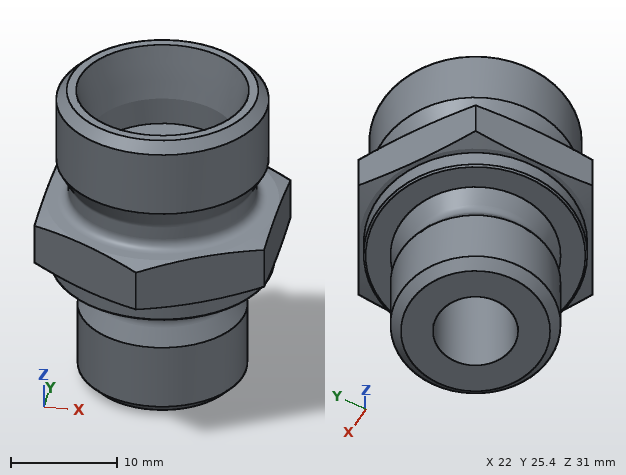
import cadquery as cq
import math

total_height = 31.0
hex_bottom = 14.0
hex_top = 19.0
collar_bottom = 12.0
lower_thread_top = 7.5
upper_thread_bottom = 23.5

upper_thread_radius = 20.0 / 2
lower_thread_radius = 16.0 / 2
neck_radius = 17.7 / 2
collar_radius = 10.5

end_chamfer = 1.0
collar_chamfer = 0.2
neck_top_blend = 0.8
neck_root_fillet = 1.0
runout_angle = math.radians(30)

groove_mouth_radius = lower_thread_radius
groove_blend_radius = 1.25
groove_root_radius = 6.88

across_flats = 22.0
hex_chamfer_angle = math.radians(15)
hex_chamfer_start_radius = 10.97

through_radius = 8.0 / 2
socket_radius = 14.0 / 2
socket_mouth_radius = 8.12
socket_depth = 8.0
socket_taper_angle = math.radians(12)


def make_turned_body():
    """Revolve the two threaded ends, the neck and the sealing collar."""
    runout_end = upper_thread_bottom - (upper_thread_radius - neck_radius) / math.tan(runout_angle)
    blend_start = runout_end - neck_top_blend * math.tan(runout_angle / 2)
    blend_mid_radius = neck_radius + neck_top_blend * (1 - math.cos(runout_angle / 2))
    blend_mid_height = blend_start + neck_top_blend * math.sin(runout_angle / 2)
    blend_end_radius = neck_radius + neck_top_blend * (1 - math.cos(runout_angle))
    blend_end_height = blend_start + neck_top_blend * math.sin(runout_angle)
    root_mid_offset = neck_root_fillet * (1 - math.sqrt(0.5))

    wall_end_radius = groove_root_radius + groove_blend_radius * (1 - math.cos(runout_angle))
    wall_end_offset = groove_blend_radius * math.sin(runout_angle)
    lower_wall_end = lower_thread_top + (lower_thread_radius - wall_end_radius) / math.tan(runout_angle)
    root_height = lower_wall_end + wall_end_offset
    upper_wall_end = root_height + wall_end_offset

    profile = (
        cq.Workplane("XZ")
        .lineTo(lower_thread_radius - end_chamfer, 0)
        .lineTo(lower_thread_radius, end_chamfer)
        .lineTo(lower_thread_radius, lower_thread_top)
        .lineTo(wall_end_radius, lower_wall_end)
        .threePointArc((groove_root_radius, root_height), (wall_end_radius, upper_wall_end))
        .lineTo(groove_mouth_radius, collar_bottom)
        .lineTo(collar_radius - collar_chamfer, collar_bottom)
        .lineTo(collar_radius, collar_bottom + collar_chamfer)
        .lineTo(collar_radius, hex_top)
        .lineTo(neck_radius + neck_root_fillet, hex_top)
        .threePointArc(
            (neck_radius + root_mid_offset, hex_top + root_mid_offset),
            (neck_radius, hex_top + neck_root_fillet),
        )
        .lineTo(neck_radius, blend_start)
        .threePointArc((blend_mid_radius, blend_mid_height), (blend_end_radius, blend_end_height))
        .lineTo(upper_thread_radius, upper_thread_bottom)
        .lineTo(upper_thread_radius, total_height - end_chamfer)
        .lineTo(upper_thread_radius - end_chamfer, total_height)
        .lineTo(0, total_height)
        .close()
    )
    return profile.revolve(360, (0, 0, 0), (0, 1, 0))


def make_hexagon():
    """Hexagon with corners on the Y axis and both faces chamfered by cones."""
    corner_radius = across_flats / math.sqrt(3)
    prism = (
        cq.Workplane("XY")
        .workplane(offset=hex_bottom)
        .polygon(6, 2 * corner_radius)
        .extrude(hex_top - hex_bottom)
        .rotate((0, 0, 0), (0, 0, 1), 30)
    )
    envelope_radius = corner_radius + 0.3
    drop = (envelope_radius - hex_chamfer_start_radius) * math.tan(hex_chamfer_angle)
    envelope = (
        cq.Workplane("XZ")
        .moveTo(0, hex_bottom)
        .lineTo(hex_chamfer_start_radius, hex_bottom)
        .lineTo(envelope_radius, hex_bottom + drop)
        .lineTo(envelope_radius, hex_top - drop)
        .lineTo(hex_chamfer_start_radius, hex_top)
        .lineTo(0, hex_top)
        .close()
        .revolve(360, (0, 0, 0), (0, 1, 0))
    )
    return prism.intersect(envelope)


def make_bore():
    """Through hole opening into a flat-bottomed socket with a tapered mouth."""
    floor_height = total_height - socket_depth
    taper_depth = (socket_mouth_radius - socket_radius) / math.tan(socket_taper_angle)
    return (
        cq.Workplane("XZ")
        .lineTo(through_radius, 0)
        .lineTo(through_radius, floor_height)
        .lineTo(socket_radius, floor_height)
        .lineTo(socket_radius, total_height - taper_depth)
        .lineTo(socket_mouth_radius, total_height)
        .lineTo(0, total_height)
        .close()
        .revolve(360, (0, 0, 0), (0, 1, 0))
    )


result = make_turned_body().union(make_hexagon()).cut(make_bore())